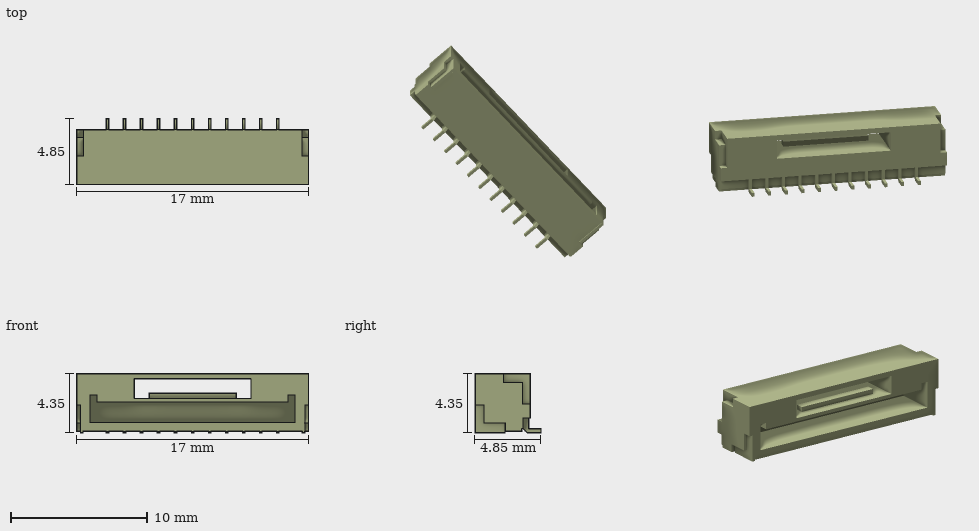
import cadquery as cq


housing_length = 17.0
housing_depth = 4.05
housing_height = 4.25
half_length = housing_length / 2
bottom_relief_y = 3.43
bottom_relief_height = 0.2
pin_relief_y = 3.53
pin_relief_height = 0.98

cavity_width = 15.04
cavity_floor = 0.64
cavity_ceiling = 2.17
cavity_depth = 3.0
ear_width = 0.52
ear_height = 0.5

window_width = 8.56
window_floor = 2.43
window_ceiling = 3.85
lip_width = 6.4
lip_height = 0.38
lip_front_y = 0.82
lip_depth = 0.6

rear_recess_inset = 0.48
rear_recess_front_y = 2.1
rear_recess_bottom = 2.0
rear_recess_leg_y = 0.57
rear_recess_leg_z = 0.66
front_recess_inset = 0.47
front_recess_rear_y = 2.25
front_recess_top = 1.95
front_recess_leg_y = 0.67
front_recess_leg_z = 0.62

seating_plane = -0.1
pin_count = 11
pin_pitch = 1.25
pin_width = 0.2
pin_thickness = 0.3
pin_tip_y = 4.85
pin_stem_rear_y = 3.95
pin_heel_y = 3.83
tab_inset = 0.27
tab_rear_y = 2.2


def box(x_range, y_range, z_range):
    """Axis-aligned box given by its limits along each axis."""
    size = [high - low for low, high in (x_range, y_range, z_range)]
    corner = (x_range[0], y_range[0], z_range[0])
    return cq.Workplane("XY").box(*size, centered=False).translate(corner)


def centred(width):
    """Limits of a width centred on X = 0."""
    return (-width / 2, width / 2)


def side_profile(points, width, x_centre=0):
    """Y-Z outline extruded along X, centred on x_centre."""
    plane = cq.Workplane("YZ", origin=(x_centre, 0, 0))
    return plane.polyline(points).close().extrude(width / 2, both=True)


def housing_block():
    outline = [
        (0, 0),
        (bottom_relief_y, 0),
        (bottom_relief_y, bottom_relief_height),
        (pin_relief_y, bottom_relief_height),
        (pin_relief_y, pin_relief_height),
        (housing_depth, pin_relief_height),
        (housing_depth, housing_height),
        (0, housing_height),
    ]
    return side_profile(outline, housing_length)


def mating_cavity():
    cavity_y = (0, cavity_depth)
    cavity = box(centred(cavity_width), cavity_y, (cavity_floor, cavity_ceiling))
    ears_z = (cavity_ceiling, cavity_ceiling + ear_height)
    ears = box(centred(cavity_width), cavity_y, ears_z)
    between_ears = box(centred(cavity_width - 2 * ear_width), cavity_y, ears_z)
    return cavity.union(ears.cut(between_ears))


def latch_window():
    return box(centred(window_width), (0, housing_depth), (window_floor, window_ceiling))


def latch_lip():
    lip_y = (lip_front_y, lip_front_y + lip_depth)
    return box(centred(lip_width), lip_y, (window_floor, window_floor + lip_height))


def front_l_outline(bottom_z, rear_y):
    """L outline of the lower front recess, with its bottom and rear limits given."""
    return [
        (0, bottom_z),
        (rear_y, bottom_z),
        (rear_y, front_recess_leg_z),
        (front_recess_leg_y, front_recess_leg_z),
        (front_recess_leg_y, front_recess_top),
        (0, front_recess_top),
    ]


def end_recesses(side):
    """Upper rear and lower front recesses of one end; side is -1 or +1."""
    rear_outline = [
        (housing_depth, housing_height),
        (housing_depth, rear_recess_bottom),
        (housing_depth - rear_recess_leg_y, rear_recess_bottom),
        (housing_depth - rear_recess_leg_y, housing_height - rear_recess_leg_z),
        (rear_recess_front_y, housing_height - rear_recess_leg_z),
        (rear_recess_front_y, housing_height),
    ]
    front_outline = front_l_outline(0, front_recess_rear_y)
    rear_x = side * (half_length - rear_recess_inset / 2)
    front_x = side * (half_length - front_recess_inset / 2)
    rear = side_profile(rear_outline, rear_recess_inset, rear_x)
    front = side_profile(front_outline, front_recess_inset, front_x)
    return rear.union(front)


def solder_tab(side):
    """L-shaped plate on the floor of the front recess, stopping short of its rear wall."""
    thickness = front_recess_inset - tab_inset
    x_centre = side * (half_length - tab_inset - thickness / 2)
    return side_profile(front_l_outline(seating_plane, tab_rear_y), thickness, x_centre)


def solder_pin(x):
    """Pin dropping from the rear underside and bending back, with a bevelled heel."""
    foot_top = seating_plane + pin_thickness
    outline = [
        (pin_relief_y, pin_relief_height),
        (pin_relief_y, foot_top),
        (pin_heel_y, seating_plane),
        (pin_tip_y, seating_plane),
        (pin_tip_y, foot_top),
        (pin_stem_rear_y, foot_top),
        (pin_stem_rear_y, pin_relief_height),
    ]
    return side_profile(outline, pin_width, x)


result = housing_block().cut(mating_cavity()).cut(latch_window()).union(latch_lip())

for end in (-1, 1):
    result = result.cut(end_recesses(end)).union(solder_tab(end))

first_pin_x = -(pin_count - 1) * pin_pitch / 2
for index in range(pin_count):
    result = result.union(solder_pin(first_pin_x + index * pin_pitch))